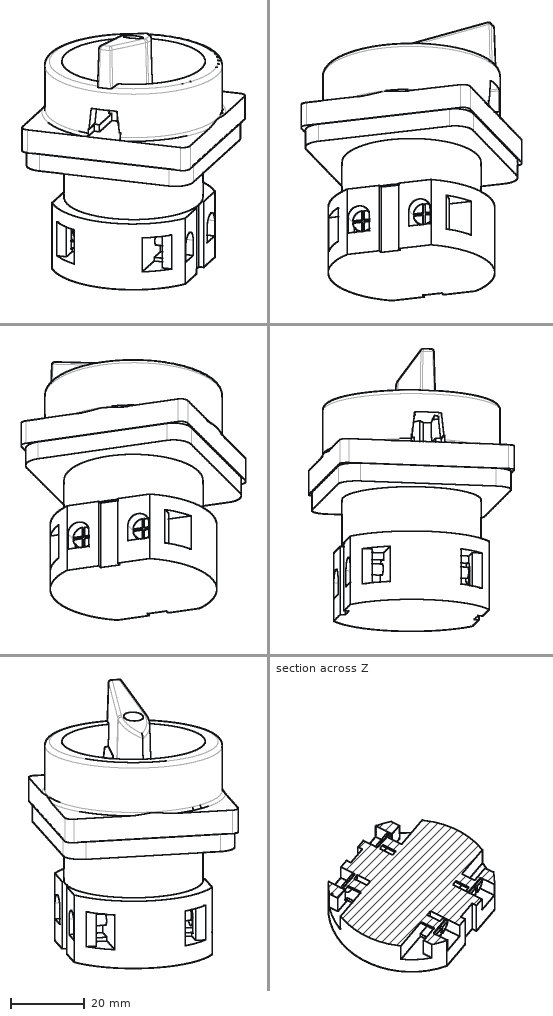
import cadquery as cq
import math

HEIGHT = 69.8
BASE_TOP = 19.0
NECK_TOP = 32.0
COLLAR_TOP = 37.0
PLATE_TOP = 43.6
FLOOR_TOP = 45.65
RING_TOP = 58.1

BASE_RADIUS = 22.75
BASE_WIDTH = 38.6
NOTCH_WIDTH = 5.6
NOTCH_DEPTH = 1.4
NECK_RADIUS = 19.0
PLATE_SIZE = 48.5
PLATE_CORNER = 2.1
COLLAR_SIZE = 47.95
COLLAR_CORNER = 5.15

SCREW_Y = 8.7
SCREW_Z = 10.7
SCREW_HOLE_DIAMETER = 6.1
SCREW_HOLE_RADIUS = SCREW_HOLE_DIAMETER / 2
SCREW_HOLE_BOTTOM = 6.2
SCREW_HEAD_RADIUS = 3.0
SCREW_HEAD_X = 15.5
SHANK_RADIUS = 1.55
SHANK_EMBED = 0.7
SLOT_WIDTH = 0.7
SLOT_DEPTH = 0.7
POCKET_BOTTOM = 5.15
POCKET_TOP = 14.9
POCKET_INNER_X = 9.85
POCKET_INNER_Y = 15.5
CHAMBER_OUTER_X = 13.9
CHAMBER_INNER_Y = 10.75

RING_RADIUS = 24.2
RING_ROUND = 1.2
BORE_RADIUS = 19.55
FOOT_RADIUS = 0.85
RECESS_INNER_Y = 12.35
RECESS_INNER_WIDTH = 7.4
RECESS_OUTER_WIDTH = 9.9
WINDOW_TOP = 51.85
WINDOW_TOP_WIDTH = 7.4
WINDOW_SILL_WIDTH = 8.8
WINDOW_BASE_WIDTH = 9.3
WINDOW_ROUND = 0.4
FLOOR_SLOT_WIDTH = 6.0

HANDLE_DRAFT = 1.6
HANDLE_HALF_WIDTH = 4.75
HANDLE_WIDEST_Y = -0.6
HANDLE_SIDE_Y = -1.8
HANDLE_SIDE_WIDTH = 9.3
HANDLE_SIDE_HALF_WIDTH = HANDLE_SIDE_WIDTH / 2
HANDLE_END_Y = -24.0
HANDLE_END_HALF_WIDTH = 2.45
HANDLE_TIP_Y = RECESS_INNER_Y
HANDLE_CREST_Y = -22.3
HANDLE_SLOPE = 11.9
HANDLE_ROUND = 0.9
HANDLE_END_ROUND = 0.5
HANDLE_HOLE_RADIUS = 2.65
HANDLE_HOLE_BOTTOM = 55.8
HANDLE_CUT_Y = -9.1
RIDGE_WIDTH = 3.0
RIDGE_LENGTH = 2.8

CORNERS = [(sx, sy) for sx in (-1, 1) for sy in (-1, 1)]


def block(x0, x1, y0, y1, z0, z1):
    """Box between two opposite corners."""
    return cq.Workplane("XY").box(x1 - x0, y1 - y0, z1 - z0, centered=False).translate((x0, y0, z0))


def cylinder(radius, z0, z1):
    """Upright cylinder on the part axis."""
    return cq.Workplane("XY").workplane(offset=z0).circle(radius).extrude(z1 - z0)


def square_plate(size, corner, z0, z1):
    """Square plate with rounded vertical corners."""
    plate = cq.Workplane("XY").workplane(offset=z0).rect(size, size).extrude(z1 - z0)
    return plate.edges("|Z").fillet(corner)


def x_cylinder(radius, x0, x1):
    """Cylinder along X on the axis of the screw at -X, -Y."""
    circle = cq.Workplane("YZ").workplane(offset=x0).center(-SCREW_Y, SCREW_Z).circle(radius)
    return circle.extrude(x1 - x0)


def at_corner(shape, sx, sy):
    """Mirror a shape built at the -X, -Y corner to the corner with the given signs."""
    if sx > 0:
        shape = shape.mirror("YZ")
    if sy > 0:
        shape = shape.mirror("XZ")
    return shape


def terminal_cavity():
    """Arched screw hole, open wire pocket and the chamber joining them."""
    half = BASE_WIDTH / 2
    hole = x_cylinder(SCREW_HOLE_RADIUS, -half, -POCKET_INNER_X)
    hole = hole.union(block(
        -half, -POCKET_INNER_X,
        -SCREW_Y - SCREW_HOLE_RADIUS, -SCREW_Y + SCREW_HOLE_RADIUS,
        SCREW_HOLE_BOTTOM, SCREW_Z))
    pocket = block(-half, -POCKET_INNER_X, -BASE_RADIUS, -POCKET_INNER_Y, POCKET_BOTTOM, POCKET_TOP)
    chamber = block(
        -CHAMBER_OUTER_X, -POCKET_INNER_X,
        -POCKET_INNER_Y, -CHAMBER_INNER_Y,
        POCKET_BOTTOM, POCKET_TOP)
    return hole.union(pocket).union(chamber)


def terminal_screw():
    """Cross-slotted head on a shank that ends in the chamber wall."""
    screw = x_cylinder(SCREW_HEAD_RADIUS, -SCREW_HEAD_X, -CHAMBER_OUTER_X)
    screw = screw.union(x_cylinder(SHANK_RADIUS, -CHAMBER_OUTER_X, -POCKET_INNER_X + SHANK_EMBED))
    length = 2 * SCREW_HEAD_RADIUS
    for width, height in ((length, SLOT_WIDTH), (SLOT_WIDTH, length)):
        slot = cq.Workplane("XY").box(2 * SLOT_DEPTH, width, height)
        screw = screw.cut(slot.translate((-SCREW_HEAD_X, -SCREW_Y, SCREW_Z)))
    return screw


def contact_base():
    """Round base with two flats, centre notches and four screw terminals."""
    half = BASE_WIDTH / 2
    base = cylinder(BASE_RADIUS, 0, BASE_TOP)
    base = base.intersect(block(-half, half, -BASE_RADIUS, BASE_RADIUS, 0, BASE_TOP))
    for side in (-1, 1):
        notch = cq.Workplane("XY").box(2 * NOTCH_DEPTH, NOTCH_WIDTH, 2 * BASE_TOP)
        base = base.cut(notch.translate((side * half, 0, BASE_TOP / 2)))
    for sx, sy in CORNERS:
        base = base.cut(at_corner(terminal_cavity(), sx, sy))
        base = base.union(at_corner(terminal_screw(), sx, sy))
    return base


def bezel_ring():
    """Bored ring with a rounded rim and a concave foot trimmed to the plate."""
    foot_outer = RING_RADIUS + FOOT_RADIUS
    arc_offset = FOOT_RADIUS * (1 - math.sqrt(0.5))
    profile = (
        cq.Workplane("XZ")
        .moveTo(0, PLATE_TOP)
        .lineTo(foot_outer, PLATE_TOP)
        .threePointArc((RING_RADIUS + arc_offset, PLATE_TOP + arc_offset),
                       (RING_RADIUS, PLATE_TOP + FOOT_RADIUS))
        .lineTo(RING_RADIUS, RING_TOP)
        .lineTo(0, RING_TOP)
        .close())
    ring = profile.revolve(360, (0, 0, 0), (0, 1, 0)).faces(">Z").edges().fillet(RING_ROUND)
    ring = ring.intersect(square_plate(PLATE_SIZE, PLATE_CORNER, PLATE_TOP, RING_TOP))
    return ring.cut(cylinder(BORE_RADIUS, FLOOR_TOP, RING_TOP))


def floor_recess():
    """Trapezoid recess in the ring floor, widening toward +Y and ending at the bore."""
    recess = (
        cq.Workplane("XY").workplane(offset=PLATE_TOP)
        .moveTo(-RECESS_INNER_WIDTH / 2, RECESS_INNER_Y)
        .lineTo(RECESS_INNER_WIDTH / 2, RECESS_INNER_Y)
        .lineTo(RECESS_OUTER_WIDTH / 2, BORE_RADIUS)
        .lineTo(-RECESS_OUTER_WIDTH / 2, BORE_RADIUS)
        .close().extrude(FLOOR_TOP - PLATE_TOP))
    return recess.intersect(cylinder(BORE_RADIUS, PLATE_TOP, FLOOR_TOP))


def padlock_window():
    """Tapered opening through the -Y wall of the ring, ending at the bore."""
    opening = (
        cq.Workplane("XZ")
        .moveTo(-WINDOW_SILL_WIDTH / 2, FLOOR_TOP)
        .lineTo(WINDOW_SILL_WIDTH / 2, FLOOR_TOP)
        .lineTo(WINDOW_TOP_WIDTH / 2, WINDOW_TOP)
        .lineTo(-WINDOW_TOP_WIDTH / 2, WINDOW_TOP)
        .close().extrude(PLATE_SIZE / 2)
        .faces(">Z").edges("|Y").fillet(WINDOW_ROUND))
    half = WINDOW_BASE_WIDTH / 2
    opening = opening.union(block(-half, half, -PLATE_SIZE / 2, 0, PLATE_TOP, FLOOR_TOP))
    return opening.cut(cylinder(BORE_RADIUS, PLATE_TOP, WINDOW_TOP))


def floor_slot():
    """Straight slot in the ring floor from the padlock window to the handle."""
    half = FLOOR_SLOT_WIDTH / 2
    return block(-half, half, -BORE_RADIUS, HANDLE_CUT_Y, PLATE_TOP, FLOOR_TOP)


def handle_blank():
    """Drafted pointer: two arcs meeting at a +Y tip, straight sides to a blunt -Y end."""
    span = HANDLE_TIP_Y - HANDLE_WIDEST_Y
    arc_radius = (HANDLE_HALF_WIDTH**2 + span**2) / (2 * HANDLE_HALF_WIDTH)
    arc_center_x = HANDLE_HALF_WIDTH - arc_radius
    mid_y = HANDLE_WIDEST_Y + span / 2
    mid_x = arc_center_x + math.sqrt(arc_radius**2 - (span / 2)**2)
    return (
        cq.Workplane("XY").workplane(offset=PLATE_TOP)
        .moveTo(0, HANDLE_TIP_Y)
        .threePointArc((mid_x, mid_y), (HANDLE_HALF_WIDTH, HANDLE_WIDEST_Y))
        .lineTo(HANDLE_SIDE_HALF_WIDTH, HANDLE_SIDE_Y)
        .lineTo(HANDLE_END_HALF_WIDTH, HANDLE_END_Y)
        .lineTo(-HANDLE_END_HALF_WIDTH, HANDLE_END_Y)
        .lineTo(-HANDLE_SIDE_HALF_WIDTH, HANDLE_SIDE_Y)
        .lineTo(-HANDLE_HALF_WIDTH, HANDLE_WIDEST_Y)
        .threePointArc((-mid_x, mid_y), (0, HANDLE_TIP_Y))
        .close().extrude(HEIGHT - PLATE_TOP + HANDLE_ROUND, taper=HANDLE_DRAFT))


def handle():
    """Sloping, rounded handle with a top hole and an undercut behind the padlock window."""
    slope = math.tan(math.radians(HANDLE_SLOPE))
    low_end_z = HEIGHT - slope * (PLATE_SIZE / 2 - HANDLE_CREST_Y)
    high_end_z = HEIGHT + slope * (PLATE_SIZE / 2 + HANDLE_CREST_Y)
    side_profile = (
        cq.Workplane("YZ")
        .moveTo(-PLATE_SIZE / 2, PLATE_TOP)
        .lineTo(PLATE_SIZE / 2, PLATE_TOP)
        .lineTo(PLATE_SIZE / 2, low_end_z)
        .lineTo(-PLATE_SIZE / 2, high_end_z)
        .close().extrude(PLATE_SIZE / 2, both=True))
    body = handle_blank().faces("<Y").edges("not |X").fillet(HANDLE_END_ROUND)
    body = body.intersect(side_profile)
    body = body.faces(">Z").edges().fillet(HANDLE_ROUND)
    body = body.cut(cylinder(HANDLE_HOLE_RADIUS, HANDLE_HOLE_BOTTOM, HEIGHT))

    undercut = block(-BORE_RADIUS, BORE_RADIUS, -BORE_RADIUS, HANDLE_CUT_Y, PLATE_TOP, WINDOW_TOP)
    ridge = (
        cq.Workplane("XY").workplane(offset=PLATE_TOP)
        .moveTo(-RIDGE_WIDTH / 2, HANDLE_CUT_Y)
        .lineTo(0, HANDLE_CUT_Y - RIDGE_LENGTH)
        .lineTo(RIDGE_WIDTH / 2, HANDLE_CUT_Y)
        .close().extrude(WINDOW_TOP - PLATE_TOP))
    return body.cut(undercut.cut(ridge))


housing = (
    contact_base()
    .union(cylinder(NECK_RADIUS, BASE_TOP, NECK_TOP))
    .union(square_plate(COLLAR_SIZE, COLLAR_CORNER, NECK_TOP, COLLAR_TOP))
    .union(square_plate(PLATE_SIZE, PLATE_CORNER, COLLAR_TOP, PLATE_TOP))
    .union(bezel_ring()))
housing = housing.cut(floor_recess()).cut(floor_slot()).cut(padlock_window())

result = housing.union(handle().cut(padlock_window()))